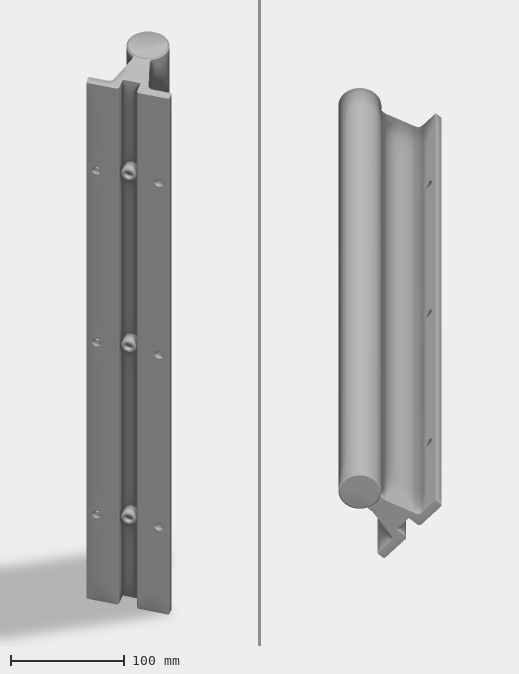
import cadquery as cq
import math

RAIL_LENGTH = 609.5
STATION_COUNT = 3
STATION_PITCH = RAIL_LENGTH / STATION_COUNT
STATIONS = [(i + 0.5) * STATION_PITCH for i in range(STATION_COUNT)]

SHAFT_DIAMETER = 38.0
SHAFT_RADIUS = SHAFT_DIAMETER / 2
SHAFT_AXIS_Y = 63.5
SHAFT_END_CHAMFER = 1.5
SHAFT_BOTTOM_Y = SHAFT_AXIS_Y - SHAFT_RADIUS

BASE_WIDTH = 76.0
FLANGE_THICKNESS = 8.0
EDGE_ROUNDING = 1.5

STEM_FOOT_WIDTH = 33.5
ROOT_RADIUS = 5.5
NECK_WIDTH = 16.5
NECK_START_Y = 41.0

SLOT_WIDTH = 16.5
SLOT_DEPTH = 13.0
SLOT_CHAMFER = 1.5

MOUNT_HOLE_DIAMETER = 8.5
MOUNT_HOLE_SPACING = 57.0

HEAD_DIAMETER = 14.0
HEAD_HEIGHT = 10.5
HEAD_CHAMFER = 1.0
SOCKET_DIAMETER = 8.5
SOCKET_DEPTH = 5.0
SHANK_DIAMETER = 10.0
SHANK_DEPTH_IN_SHAFT = 12.0
HEAD_FACE_Y = SLOT_DEPTH - HEAD_HEIGHT
SHANK_END_Y = SHAFT_BOTTOM_Y + SHANK_DEPTH_IN_SHAFT

SELECTION_MARGIN = 0.5


def rod_along_y(diameter, start_y, end_y, x, z):
    """Round rod parallel to Y between two heights above the mounting face."""
    base = cq.Vector(x, start_y, z)
    upward = cq.Vector(0, 1, 0)
    return cq.Workplane(cq.Solid.makeCylinder(diameter / 2, end_y - start_y, base, upward))


def shank_rod(z):
    """Space taken by a screw shank, from the slot floor up into the shaft."""
    return rod_along_y(SHANK_DIAMETER, SLOT_DEPTH, SHANK_END_Y, 0, z)


def make_shaft():
    """Round shaft with chamfered ends and a blind hole for each screw."""
    shaft = (
        cq.Workplane("XY")
        .center(0, SHAFT_AXIS_Y)
        .circle(SHAFT_RADIUS)
        .extrude(RAIL_LENGTH)
        .faces("|Z")
        .chamfer(SHAFT_END_CHAMFER)
    )
    for z in STATIONS:
        shaft = shaft.cut(shank_rod(z))
    return shaft


def rail_blank():
    """Rail section with sharp edges, extruded; the neck ends in a saddle for the shaft."""
    base_half = BASE_WIDTH / 2
    foot_half = STEM_FOOT_WIDTH / 2
    neck_half = NECK_WIDTH / 2
    slot_half = SLOT_WIDTH / 2
    saddle_edge_y = SHAFT_AXIS_Y - math.sqrt(SHAFT_RADIUS**2 - neck_half**2)
    return (
        cq.Workplane("XY")
        .moveTo(slot_half, 0)
        .lineTo(base_half, 0)
        .lineTo(base_half, FLANGE_THICKNESS)
        .lineTo(foot_half, FLANGE_THICKNESS)
        .lineTo(neck_half, NECK_START_Y)
        .lineTo(neck_half, saddle_edge_y)
        .threePointArc((0, SHAFT_BOTTOM_Y), (-neck_half, saddle_edge_y))
        .lineTo(-neck_half, NECK_START_Y)
        .lineTo(-foot_half, FLANGE_THICKNESS)
        .lineTo(-base_half, FLANGE_THICKNESS)
        .lineTo(-base_half, 0)
        .lineTo(-slot_half, 0)
        .lineTo(-slot_half, SLOT_DEPTH)
        .lineTo(slot_half, SLOT_DEPTH)
        .close()
        .extrude(RAIL_LENGTH)
    )


def edge_pair(rail, width, y):
    """The two lengthwise rail edges at height y that are a given width apart."""
    pair = rail.newObject([])
    for x in (-width / 2, width / 2):
        near = cq.selectors.BoxSelector(
            (x - SELECTION_MARGIN, y - SELECTION_MARGIN, 0),
            (x + SELECTION_MARGIN, y + SELECTION_MARGIN, RAIL_LENGTH),
        )
        pair = pair.add(rail.edges("|Z").edges(near))
    return pair


def make_rail():
    """Flanged support rail with its eased edges, screw holes and mounting holes."""
    rail = rail_blank()
    rail = edge_pair(rail, BASE_WIDTH, 0).fillet(EDGE_ROUNDING)
    rail = edge_pair(rail, SLOT_WIDTH, 0).chamfer(SLOT_CHAMFER)
    rail = edge_pair(rail, STEM_FOOT_WIDTH, FLANGE_THICKNESS).fillet(ROOT_RADIUS)
    for z in STATIONS:
        rail = rail.cut(shank_rod(z))
        for x in (-MOUNT_HOLE_SPACING / 2, MOUNT_HOLE_SPACING / 2):
            rail = rail.cut(rod_along_y(MOUNT_HOLE_DIAMETER, 0, FLANGE_THICKNESS, x, z))
    return rail


def make_screw(z):
    """Socket head screw with its head in the slot, at one station along the rail."""
    head = rod_along_y(HEAD_DIAMETER, HEAD_FACE_Y, SLOT_DEPTH, 0, z).faces("<Y").chamfer(HEAD_CHAMFER)
    socket = rod_along_y(SOCKET_DIAMETER, HEAD_FACE_Y, HEAD_FACE_Y + SOCKET_DEPTH, 0, z)
    return head.union(shank_rod(z)).cut(socket)


shaft = make_shaft()
rail = make_rail()
screws = [make_screw(z) for z in STATIONS]

result = cq.Compound.makeCompound([shaft.val(), rail.val(), *[screw.val() for screw in screws]])